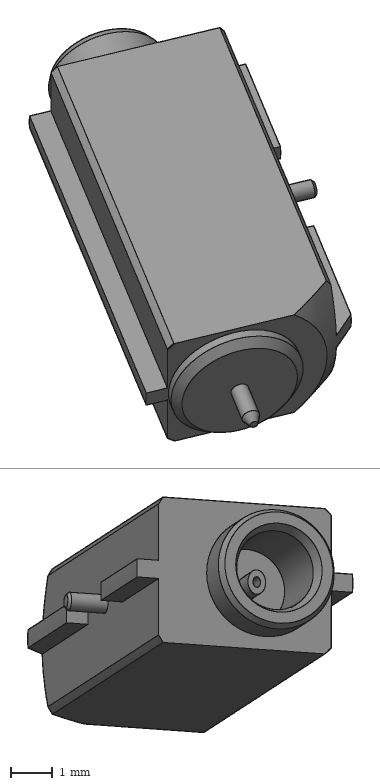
import cadquery as cq


BODY_LENGTH = 9.3
BODY_HEIGHT = 3.6
BODY_FRONT_Y = -1.7
BODY_BACK_Y = 2.7
BODY_FRONT_TRIM_RADIUS = 2.365
BODY_BACK_TRIM_RADIUS = 3.15

FIN_THICKNESS = 0.45
FIN_FRONT_Y = -2.25
FIN_BACK_Y = 3.25
FIN_GAP_LENGTH = 2.65

SIDE_PIN_X = 4.1
SIDE_PIN_TIP_Y = 3.7
SIDE_PIN_CHAMFER = 0.07
PIN_DIAMETER = 0.45

RELIEF_END_RADIUS = 2.35
RELIEF_LENGTH = 1.5

NOSE_LENGTH = 1.1
NOSE_DIAMETER = 2.95
NOSE_CHAMFER_LENGTH = 0.2
NOSE_CHAMFER_DEPTH = 0.1
BORE_DIAMETER = 1.95
BORE_DEPTH = 2.5
BORE_FLOOR_X = BORE_DEPTH - NOSE_LENGTH
MOUTH_DIAMETER = 2.2
MOUTH_LENGTH = 0.3

CONTACT_LENGTH = 0.8
CONTACT_WIDTH = 0.45
CONTACT_HEIGHT = 0.6
CONTACT_HOLE_WIDTH = 0.19
CONTACT_HOLE_HEIGHT = 0.26

FLANGE_LENGTH = 0.42
FLANGE_DIAMETER = 3.35
FLANGE_CHAMFER = 0.21
PLUG_PIN_LENGTH = 1.14
PLUG_TIP_LENGTH = 0.25
PLUG_TIP_DIAMETER = 0.2


def box_between(x_range, y_range, height):
    """Box spanning the given X and Y ranges, centred on Z = 0."""
    length = x_range[1] - x_range[0]
    width = y_range[1] - y_range[0]
    box = cq.Workplane("XY").box(length, width, height, centered=(False, False, True))
    return box.translate((x_range[0], y_range[0], 0))


def revolve_about_x(profile):
    """Solid of revolution about the X axis from (x, radius) points."""
    return cq.Workplane("XY").polyline(profile).close().revolve(360, (0, 0, 0), (1, 0, 0))


def rounded_side(outer_y, height, trim_radius):
    """Full-length block from the connector axis to outer_y, trimmed by a cylinder about that axis."""
    block = box_between((0, BODY_LENGTH), (min(outer_y, 0), max(outer_y, 0)), height)
    return block.intersect(cq.Workplane("YZ").circle(trim_radius).extrude(BODY_LENGTH))


def make_body():
    front = rounded_side(BODY_FRONT_Y, BODY_HEIGHT, BODY_FRONT_TRIM_RADIUS)
    return front.union(rounded_side(BODY_BACK_Y, BODY_HEIGHT, BODY_BACK_TRIM_RADIUS))


def make_fin_gap():
    gap_start = SIDE_PIN_X - FIN_GAP_LENGTH / 2
    return box_between((gap_start, gap_start + FIN_GAP_LENGTH), (BODY_BACK_Y, FIN_BACK_Y), FIN_THICKNESS)


def make_fins():
    front = rounded_side(FIN_FRONT_Y, FIN_THICKNESS, abs(FIN_FRONT_Y))
    back = rounded_side(FIN_BACK_Y, FIN_THICKNESS, FIN_BACK_Y)
    return front.union(back).cut(make_fin_gap())


def make_relief():
    """Material outside a cone that narrows to RELIEF_END_RADIUS at the plug-end face."""
    outer_radius = RELIEF_END_RADIUS + RELIEF_LENGTH
    return revolve_about_x([
        (BODY_LENGTH, RELIEF_END_RADIUS),
        (BODY_LENGTH, outer_radius),
        (BODY_LENGTH - RELIEF_LENGTH, outer_radius),
    ])


def make_side_pin():
    pin = cq.Workplane("XZ").circle(PIN_DIAMETER / 2).extrude(-SIDE_PIN_TIP_Y)
    return pin.faces(">Y").chamfer(SIDE_PIN_CHAMFER).translate((SIDE_PIN_X, 0, 0))


def make_nose():
    nose_radius = NOSE_DIAMETER / 2
    return revolve_about_x([
        (0, 0),
        (0, nose_radius),
        (NOSE_CHAMFER_LENGTH - NOSE_LENGTH, nose_radius),
        (-NOSE_LENGTH, nose_radius - NOSE_CHAMFER_DEPTH),
        (-NOSE_LENGTH, 0),
    ])


def make_bore():
    return revolve_about_x([
        (-NOSE_LENGTH, 0),
        (-NOSE_LENGTH, MOUTH_DIAMETER / 2),
        (MOUTH_LENGTH - NOSE_LENGTH, BORE_DIAMETER / 2),
        (BORE_FLOOR_X, BORE_DIAMETER / 2),
        (BORE_FLOOR_X, 0),
    ])


def make_flange():
    flange = cq.Workplane("YZ").circle(FLANGE_DIAMETER / 2).extrude(FLANGE_LENGTH)
    return flange.faces(">X").chamfer(FLANGE_CHAMFER).translate((BODY_LENGTH, 0, 0))


def make_contact():
    outline = cq.Workplane("YZ").ellipse(CONTACT_WIDTH / 2, CONTACT_HEIGHT / 2)
    tube = outline.ellipse(CONTACT_HOLE_WIDTH / 2, CONTACT_HOLE_HEIGHT / 2).extrude(-CONTACT_LENGTH)
    return tube.translate((BORE_FLOOR_X, 0, 0))


def make_plug_pin():
    root_x = BODY_LENGTH + FLANGE_LENGTH
    tip_x = root_x + PLUG_PIN_LENGTH
    return revolve_about_x([
        (root_x, 0),
        (root_x, PIN_DIAMETER / 2),
        (tip_x - PLUG_TIP_LENGTH, PIN_DIAMETER / 2),
        (tip_x, PLUG_TIP_DIAMETER / 2),
        (tip_x, 0),
    ])


result = make_body().union(make_fins()).cut(make_relief())
result = result.union(make_side_pin()).union(make_nose()).union(make_flange())
result = result.cut(make_bore()).union(make_contact()).union(make_plug_pin())